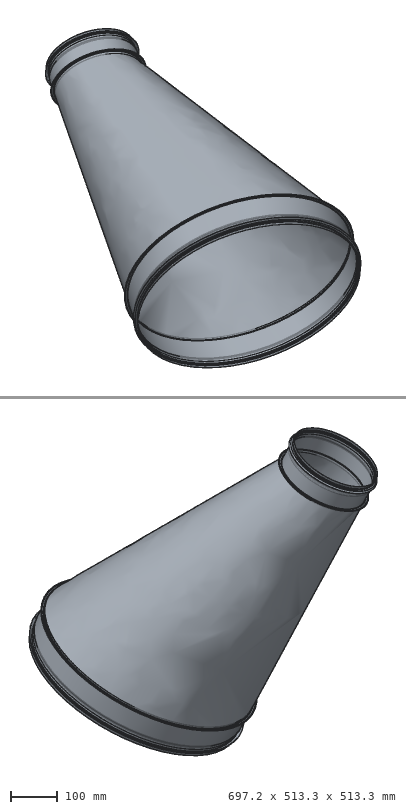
import cadquery as cq


total_length = 697.17
sheet = 0.5
small_diameter = 198.95
large_diameter = 498.8
small_axis_y = -(large_diameter - small_diameter) / 2

seam_rim_height = 7.25
spigot_flange_height = 5.0
fold_lip_gap = 1.5
small_spigot_length = 62.2
large_spigot_length = 76.15
small_stub_length = 6.0
large_stub_length = 4.2

lead_in_length = 2.1
lead_in_depth = 0.4
rim_length = 6.3
groove_start = 7.3
groove_end = 21.4
shoulder_end = 26.8
groove_depth = 2.4

seal_end = 16.4
heel_length = 1.2
strip_height = 0.6
heel_height = 1.8
lip_thickness = 0.8
outer_lip_root = 8.7
outer_lip_tip = 10.1
inner_lip_root = 10.8
inner_lip_tip = 14.3
outer_lip_height = 5.1
inner_lip_height = 7.6


def revolve_about_x(profile):
    """Turn an (axial position, radius) profile about the X axis."""
    return profile.close().revolve(360, (0, 0, 0), (1, 0, 0))


def make_spigot(diameter, length):
    """Spigot with its open end at X = 0 and its seam flange at X = length."""
    outer = diameter / 2
    inner = outer - sheet
    floor = outer - groove_depth
    shoulder_middle = (groove_end + shoulder_end) / 2
    half_depth = groove_depth / 2
    profile = (
        cq.Workplane("XY")
        .moveTo(0, outer - lead_in_depth)
        .lineTo(lead_in_length, outer)
        .lineTo(rim_length, outer)
        .lineTo(groove_start, floor)
        .lineTo(groove_end, floor)
        .tangentArcPoint((shoulder_middle, floor + half_depth), relative=False)
        .tangentArcPoint((shoulder_end, outer), relative=False)
        .lineTo(length - sheet, outer)
        .lineTo(length - sheet, outer + spigot_flange_height)
        .lineTo(length, outer + spigot_flange_height)
        .lineTo(length, inner)
        .lineTo(shoulder_end, inner)
        .tangentArcPoint((shoulder_middle, inner - half_depth), relative=False)
        .tangentArcPoint((groove_end, floor - sheet), relative=False)
        .lineTo(groove_start - sheet, floor - sheet)
        .lineTo(rim_length - sheet, inner)
        .lineTo(lead_in_length, inner)
        .lineTo(0, inner - lead_in_depth)
    )
    return revolve_about_x(profile)


def make_seal(diameter):
    """Two-lip seal seated on the groove floor of a spigot with its open end at X = 0."""
    floor = diameter / 2 - groove_depth
    strip = floor + strip_height
    profile = (
        cq.Workplane("XY")
        .moveTo(groove_start, floor)
        .lineTo(groove_start, floor + heel_height)
        .lineTo(groove_start + heel_length, floor + heel_height)
        .lineTo(outer_lip_root, strip)
        .lineTo(outer_lip_tip, floor + outer_lip_height)
        .lineTo(outer_lip_tip + lip_thickness, floor + outer_lip_height)
        .lineTo(outer_lip_root + lip_thickness, strip)
        .lineTo(inner_lip_root, strip)
        .lineTo(inner_lip_tip, floor + inner_lip_height)
        .lineTo(inner_lip_tip + lip_thickness, floor + inner_lip_height)
        .lineTo(inner_lip_root + lip_thickness, strip)
        .lineTo(seal_end, strip)
        .lineTo(seal_end, floor)
    )
    return revolve_about_x(profile)


def place_small(body):
    return body.translate((0, small_axis_y, 0))


def place_large(body):
    return body.mirror("YZ").translate((total_length, 0, 0))


def cross_section(x, center_y):
    """Workplane across the duct; its local x axis points to -Y, where the cone runs straight."""
    return cq.Workplane(cq.Plane(origin=(x, center_y, 0), xDir=(0, -1, 0), normal=(1, 0, 0)))


def make_cone_shape(small_radius, large_radius):
    """Filled oblique cone with a straight stub at each end, from joint face to joint face."""
    small_joint = small_spigot_length
    large_joint = total_length - large_spigot_length
    cone_start = small_joint + small_stub_length
    cone_end = large_joint - large_stub_length
    cone = (
        cross_section(cone_start, small_axis_y)
        .circle(small_radius)
        .workplane(offset=cone_end - cone_start)
        .center(small_axis_y, 0)
        .circle(large_radius)
        .loft(ruled=True)
    )
    small_stub = cross_section(small_joint, small_axis_y).circle(small_radius).extrude(small_stub_length)
    large_stub = cross_section(cone_end, 0).circle(large_radius).extrude(large_stub_length)
    return cone.union(small_stub).union(large_stub)


def make_seam_fold(diameter, length):
    """Folded cone flange around the flange of a spigot with its open end at X = 0."""
    outer = diameter / 2
    rim = outer + seam_rim_height
    slot = outer + spigot_flange_height
    fold_lip = outer + fold_lip_gap
    profile = (
        cq.Workplane("XY")
        .moveTo(length + sheet, outer - sheet)
        .lineTo(length + sheet, rim)
        .lineTo(length - 2 * sheet, rim)
        .lineTo(length - 2 * sheet, fold_lip)
        .lineTo(length - sheet, fold_lip)
        .lineTo(length - sheet, slot)
        .lineTo(length, slot)
        .lineTo(length, outer - sheet)
    )
    return revolve_about_x(profile)


def make_cone():
    """Hollow eccentric cone with a folded seam flange at each end."""
    small_radius = small_diameter / 2
    large_radius = large_diameter / 2
    outside = make_cone_shape(small_radius, large_radius)
    inside = make_cone_shape(small_radius - sheet, large_radius - sheet)
    small_fold = place_small(make_seam_fold(small_diameter, small_spigot_length))
    large_fold = place_large(make_seam_fold(large_diameter, large_spigot_length))
    return outside.cut(inside).union(small_fold).union(large_fold)


cone = make_cone()
small_spigot = place_small(make_spigot(small_diameter, small_spigot_length))
large_spigot = place_large(make_spigot(large_diameter, large_spigot_length))
small_seal = place_small(make_seal(small_diameter))
large_seal = place_large(make_seal(large_diameter))

result = cq.Compound.makeCompound([
    cone.solids().val(),
    small_spigot.val(),
    large_spigot.val(),
    small_seal.val(),
    large_seal.val(),
])